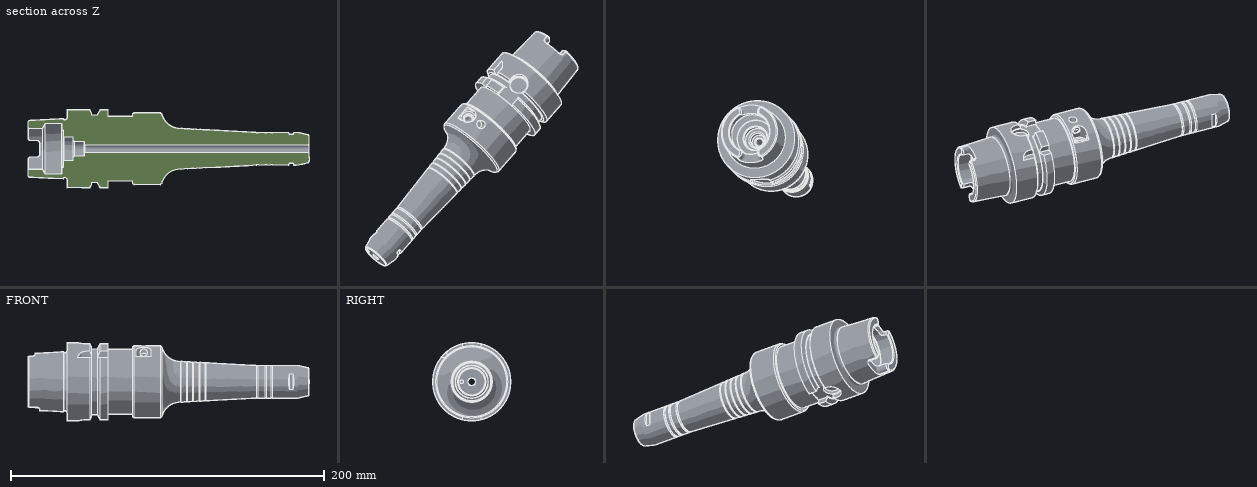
import cadquery as cq
import math

FLANGE_REAR = 25.0
FLANGE_LENGTH = 26.3
COLLAR_REAR = 66.8
COLLAR_LENGTH = 18.9
TIP_END = 179.6
PIN_END = 180.0
FLANGE_FRONT = FLANGE_REAR + FLANGE_LENGTH
COLLAR_FRONT = COLLAR_REAR + COLLAR_LENGTH

TOOL_CLEARANCE = 9.0

TAPER_REAR_RADIUS = 18.2
TAPER_END = 22.9
TAPER_SLOPE = 0.05
REAR_CHAMFER = 0.7
UNDERCUT_RADIUS = 18.5
UNDERCUT_RUN = 0.4
UNDERCUT_FILLET = 1.5

FLANGE_RADIUS = 25.0
GRIP_GROOVE_RADIUS = 21.6
GRIP_GROOVE_START = 39.6
GRIP_GROOVE_WIDTH = 4.9
GRIP_FLANK_HEIGHT = 2.9
GRIP_REAR_FLANK_HEIGHT = 2.0
GRIP_FLANK_ANGLE = 30

NECK_RADIUS = 20.9
COLLAR_RADIUS = 23.0
COLLAR_CHAMFER = 1.0
COLLAR_CHAMFER_HEIGHT = 0.7

SHOULDER_MID_X = 89.5
SHOULDER_MID_RADIUS = 16.0

NOSE_DIAMETER = 21.0
NOSE_RADIUS = NOSE_DIAMETER / 2
NOSE_CYLINDER_START = 146.3
NOSE_CONE_START = 95.0
NOSE_TAPER_ANGLE = 3.1
TIP_CONE_START = 172.6
TIP_RADIUS = 9.0
TIP_CHAMFER = 0.5

RING_DEPTH = 0.2
CONE_RING_WIDTH = 2.3
RING_WALL_RUN = 0.5
CONE_RING_START = 95.5
CONE_RING_PITCH = 4.0
CONE_RING_COUNT = 5
TIP_RING_WIDTH = 1.0
TIP_RING_STARTS = (146.0, 151.4, 155.2)

MOUTH_RADIUS = 13.5
MOUTH_CHAMFER = 0.5
BORE_RADIUS = 13.0
BORE_DEPTH = 9.4
CLAMP_CONE_ANGLE = 60
CHAMBER_RADIUS = 16.0
CHAMBER_DEPTH = 21.6
RECESS_RADIUS = 11.7
RECESS_DEPTH = 22.5
TUBE_SEAT_DIAMETER = 16.0
TUBE_SEAT_RADIUS = TUBE_SEAT_DIAMETER / 2
TUBE_SEAT_DEPTH = 28.8
TUBE_SEAT_CHAMFER = 0.5
TUBE_THREAD_RADIUS = 5.4
TUBE_THREAD_DEPTH = 36.0
THREAD_CHAMFER = 0.9
COOLANT_RADIUS = 2.3
COOLANT_CHAMFER = 0.5

DRIVE_SLOT_WIDTH = 10.5
DRIVE_SLOT_FLARE_START = 13.5
DRIVE_SLOT_FLARE = 2.7
DRIVE_SLOT_FLOOR_FILLET = 1.8
DRIVE_SLOT_ENTRY = 1.0
ENTRY_BEVEL_ANGLE = 45
TOP_SLOT_DEPTH = 4.5
BOTTOM_SLOT_DEPTH = 7.5

KEYWAY_WIDTH = 11.9
KEYWAY_CENTER = 38.0
KEYWAY_FLOOR = 21.0
POCKET_DEPTH = 2.5
POCKET_DIAMETER = 11.0
NOTCH_OFFSET = 15.7
NOTCH_CENTER = 37.5

SCREW_X = 74.0
SCREW_Y = -11.7
SCREW_SLOT_WIDTH = 9.5
SCREW_SLOT_FLOOR = 16.2
SCREW_DIAMETER = SCREW_SLOT_WIDTH
SCREW_DEPTH = 3.6
SOCKET_DIAMETER = 5.0
SOCKET_CHAMFER = 0.7
SOCKET_DEPTH = 2.7
SOCKET_CONE_DEPTH = 1.8
CROSS_HOLE_DIAMETER = 4.7
CROSS_HOLE_Z = 18.5
CROSS_HOLE_END = -6.5
VENT_DIAMETER = 5.0
VENT_Y = -1.0
VENT_DEPTH = 6.5
VENT_TILT = 25

FLAT_DISTANCE = 9.4
FLAT_START = 167.0
FLAT_WIDTH = 2.3
FLAT_FLARE = 0.5
FLAT_TOOL_HEIGHT = 1.8
PIN_Y = -6.5
PIN_DIAMETER = 2.3
PIN_ROOT = 1.8


def nose_radius(x):
    return NOSE_RADIUS + max(0, NOSE_CYLINDER_START - x) * math.tan(math.radians(NOSE_TAPER_ANGLE))


def turned_body():
    flank = math.tan(math.radians(GRIP_FLANK_ANGLE))
    groove_start = GRIP_GROOVE_START + GRIP_REAR_FLANK_HEIGHT * flank
    groove_end = GRIP_GROOVE_START + GRIP_GROOVE_WIDTH
    taper_end_radius = TAPER_REAR_RADIUS + TAPER_END * TAPER_SLOPE
    outline = (
        cq.Workplane("XY")
        .lineTo(0, TAPER_REAR_RADIUS - REAR_CHAMFER)
        .lineTo(REAR_CHAMFER, TAPER_REAR_RADIUS)
        .lineTo(TAPER_END, taper_end_radius)
        .lineTo(TAPER_END + UNDERCUT_RUN, UNDERCUT_RADIUS)
        .lineTo(FLANGE_REAR - UNDERCUT_FILLET, UNDERCUT_RADIUS)
        .tangentArcPoint((UNDERCUT_FILLET, UNDERCUT_FILLET))
        .lineTo(FLANGE_REAR, FLANGE_RADIUS)
        .lineTo(GRIP_GROOVE_START, FLANGE_RADIUS)
        .lineTo(groove_start, FLANGE_RADIUS - GRIP_REAR_FLANK_HEIGHT)
        .lineTo(groove_start, GRIP_GROOVE_RADIUS)
        .lineTo(groove_end, GRIP_GROOVE_RADIUS)
        .lineTo(groove_end, FLANGE_RADIUS - GRIP_FLANK_HEIGHT)
        .lineTo(groove_end + GRIP_FLANK_HEIGHT * flank, FLANGE_RADIUS)
        .lineTo(FLANGE_FRONT, FLANGE_RADIUS)
        .lineTo(FLANGE_FRONT, NECK_RADIUS)
        .lineTo(COLLAR_REAR, NECK_RADIUS)
        .lineTo(COLLAR_REAR, COLLAR_RADIUS - COLLAR_CHAMFER_HEIGHT)
        .lineTo(COLLAR_REAR + COLLAR_CHAMFER, COLLAR_RADIUS)
        .lineTo(COLLAR_FRONT - COLLAR_CHAMFER, COLLAR_RADIUS)
        .lineTo(COLLAR_FRONT, COLLAR_RADIUS - COLLAR_CHAMFER_HEIGHT)
        .threePointArc(
            (SHOULDER_MID_X, SHOULDER_MID_RADIUS),
            (NOSE_CONE_START, nose_radius(NOSE_CONE_START)),
        )
        .lineTo(NOSE_CYLINDER_START, NOSE_RADIUS)
        .lineTo(TIP_CONE_START, NOSE_RADIUS)
        .lineTo(TIP_END - TIP_CHAMFER, TIP_RADIUS)
        .lineTo(TIP_END, TIP_RADIUS - TIP_CHAMFER)
        .lineTo(TIP_END, 0)
        .close()
    )
    return outline.revolve(360, (0, 0, 0), (1, 0, 0))


def ring_groove(start, width, wall_run):
    end = start + width
    outside = nose_radius(start) + TOOL_CLEARANCE
    return (
        cq.Workplane("XY")
        .polyline([
            (start, nose_radius(start)),
            (start + wall_run, nose_radius(start) - RING_DEPTH),
            (end - wall_run, nose_radius(end) - RING_DEPTH),
            (end, nose_radius(end)),
            (end, outside),
            (start, outside),
        ])
        .close()
        .revolve(360, (0, 0, 0), (1, 0, 0))
    )


def stepped_bore():
    cone_end = BORE_DEPTH + (CHAMBER_RADIUS - BORE_RADIUS) / math.tan(math.radians(CLAMP_CONE_ANGLE))
    outline = cq.Workplane("XY").polyline([
        (0, 0),
        (0, MOUTH_RADIUS),
        (MOUTH_CHAMFER, BORE_RADIUS),
        (BORE_DEPTH, BORE_RADIUS),
        (cone_end, CHAMBER_RADIUS),
        (CHAMBER_DEPTH, CHAMBER_RADIUS),
        (CHAMBER_DEPTH, RECESS_RADIUS),
        (RECESS_DEPTH, RECESS_RADIUS),
        (RECESS_DEPTH, TUBE_SEAT_RADIUS),
        (RECESS_DEPTH + TUBE_SEAT_CHAMFER, TUBE_SEAT_RADIUS - TUBE_SEAT_CHAMFER),
        (TUBE_SEAT_DEPTH, TUBE_SEAT_RADIUS - TUBE_SEAT_CHAMFER),
        (TUBE_SEAT_DEPTH, TUBE_THREAD_RADIUS),
        (TUBE_SEAT_DEPTH + THREAD_CHAMFER, TUBE_THREAD_RADIUS - THREAD_CHAMFER),
        (TUBE_THREAD_DEPTH, TUBE_THREAD_RADIUS - THREAD_CHAMFER),
        (TUBE_THREAD_DEPTH, COOLANT_RADIUS + COOLANT_CHAMFER),
        (TUBE_THREAD_DEPTH + COOLANT_CHAMFER, COOLANT_RADIUS),
        (TIP_END, COOLANT_RADIUS),
        (TIP_END, 0),
    ])
    return outline.close().revolve(360, (0, 0, 0), (1, 0, 0))


def drive_slot_outline(half_width):
    inner = BORE_RADIUS / 2
    outer = TAPER_REAR_RADIUS + TOOL_CLEARANCE
    edge = half_width + DRIVE_SLOT_FLARE
    flare_end = DRIVE_SLOT_FLARE_START + DRIVE_SLOT_FLARE
    arc_y = edge - DRIVE_SLOT_FLARE * math.sqrt(0.5)
    arc_z = DRIVE_SLOT_FLARE_START + DRIVE_SLOT_FLARE * math.sqrt(0.5)
    return (
        cq.Workplane("YZ")
        .moveTo(-half_width, inner)
        .lineTo(half_width, inner)
        .lineTo(half_width, DRIVE_SLOT_FLARE_START)
        .threePointArc((arc_y, arc_z), (edge, flare_end))
        .lineTo(edge, outer)
        .lineTo(-edge, outer)
        .lineTo(-edge, flare_end)
        .threePointArc((-arc_y, arc_z), (-half_width, DRIVE_SLOT_FLARE_START))
        .close()
    )


def drive_slot(depth):
    half_width = DRIVE_SLOT_WIDTH / 2
    slot = drive_slot_outline(half_width).extrude(depth)
    slot = slot.faces(">X").edges().fillet(DRIVE_SLOT_FLOOR_FILLET)
    entry = drive_slot_outline(half_width + DRIVE_SLOT_ENTRY)
    return slot.union(entry.extrude(DRIVE_SLOT_ENTRY, taper=ENTRY_BEVEL_ANGLE))


def round_ended_slot(center_x, length, width, floor):
    """Slot with a vertical mill's round end at center_x, running toward +X and open at the top."""
    box = cq.Workplane("XY").box(length, width, TOOL_CLEARANCE, centered=(False, True, False))
    end = cq.Workplane("XY").circle(width / 2).extrude(TOOL_CLEARANCE)
    return box.union(end).translate((center_x, 0, floor))


def keyway():
    length = FLANGE_FRONT - KEYWAY_CENTER
    slot = round_ended_slot(KEYWAY_CENTER, length, KEYWAY_WIDTH, KEYWAY_FLOOR)
    pocket = cq.Workplane("XY").circle(POCKET_DIAMETER / 2).extrude(POCKET_DEPTH)
    return slot.union(pocket.translate((KEYWAY_CENTER, 0, KEYWAY_FLOOR - POCKET_DEPTH)))


def corner_notch():
    length = FLANGE_FRONT - NOTCH_CENTER
    slot = round_ended_slot(NOTCH_CENTER, length, KEYWAY_WIDTH, NOTCH_OFFSET)
    return slot.translate((0, -NOTCH_OFFSET - KEYWAY_WIDTH / 2, 0))


def screw_pocket():
    slot = round_ended_slot(0, TOOL_CLEARANCE, SCREW_SLOT_WIDTH, SCREW_SLOT_FLOOR)
    slot = slot.rotate((0, 0, 0), (0, 0, 1), -90)
    screw_floor = SCREW_SLOT_FLOOR - SCREW_DEPTH
    screw_hole = cq.Workplane("XY").workplane(offset=screw_floor)
    screw_hole = screw_hole.circle(SCREW_DIAMETER / 2).extrude(SCREW_DEPTH)
    socket = (
        cq.Workplane("XZ")
        .polyline([
            (0, screw_floor),
            (SOCKET_DIAMETER / 2 + SOCKET_CHAMFER, screw_floor),
            (SOCKET_DIAMETER / 2, screw_floor - SOCKET_CHAMFER),
            (SOCKET_DIAMETER / 2, screw_floor - SOCKET_DEPTH),
            (0, screw_floor - SOCKET_DEPTH - SOCKET_CONE_DEPTH),
        ])
        .close()
        .revolve(360, (0, 0, 0), (0, 1, 0))
    )
    return slot.union(screw_hole).union(socket).translate((SCREW_X, SCREW_Y, 0))


def cross_hole():
    hole = cq.Workplane("XZ").circle(CROSS_HOLE_DIAMETER / 2).extrude(CROSS_HOLE_END - SCREW_Y)
    return hole.translate((SCREW_X, CROSS_HOLE_END, CROSS_HOLE_Z))


def vent_hole():
    hole = cq.Workplane("XY").circle(VENT_DIAMETER / 2).extrude(2 * VENT_DEPTH)
    hole = hole.translate((0, 0, -VENT_DEPTH)).rotate((0, 0, 0), (1, 0, 0), -VENT_TILT)
    return hole.translate((SCREW_X, VENT_Y, COLLAR_RADIUS))


def wrench_flat():
    flare = FLAT_FLARE * FLAT_TOOL_HEIGHT / (NOSE_RADIUS - FLAT_DISTANCE)
    return (
        cq.Workplane("XY")
        .polyline([
            (FLAT_START, -FLAT_DISTANCE),
            (FLAT_START + FLAT_WIDTH, -FLAT_DISTANCE),
            (FLAT_START + FLAT_WIDTH + flare, -FLAT_DISTANCE - FLAT_TOOL_HEIGHT),
            (FLAT_START - flare, -FLAT_DISTANCE - FLAT_TOOL_HEIGHT),
        ])
        .close()
        .extrude(NOSE_RADIUS, both=True)
    )


def flip(tool):
    return tool.rotate((0, 0, 0), (1, 0, 0), 180)


body = turned_body()
for index in range(CONE_RING_COUNT):
    ring_start = CONE_RING_START + index * CONE_RING_PITCH
    body = body.cut(ring_groove(ring_start, CONE_RING_WIDTH, RING_WALL_RUN))
for ring_start in TIP_RING_STARTS:
    body = body.cut(ring_groove(ring_start, TIP_RING_WIDTH, 0))
body = body.cut(stepped_bore())
body = body.cut(drive_slot(TOP_SLOT_DEPTH)).cut(flip(drive_slot(BOTTOM_SLOT_DEPTH)))
body = body.cut(keyway()).cut(flip(keyway())).cut(corner_notch())
body = body.cut(screw_pocket()).cut(cross_hole()).cut(vent_hole())
body = body.cut(wrench_flat()).cut(flip(wrench_flat()))
pin = cq.Workplane("YZ").workplane(offset=TIP_END - PIN_ROOT).center(PIN_Y, 0)
pin = pin.circle(PIN_DIAMETER / 2).extrude(PIN_END - TIP_END + PIN_ROOT)
result = body.union(pin)